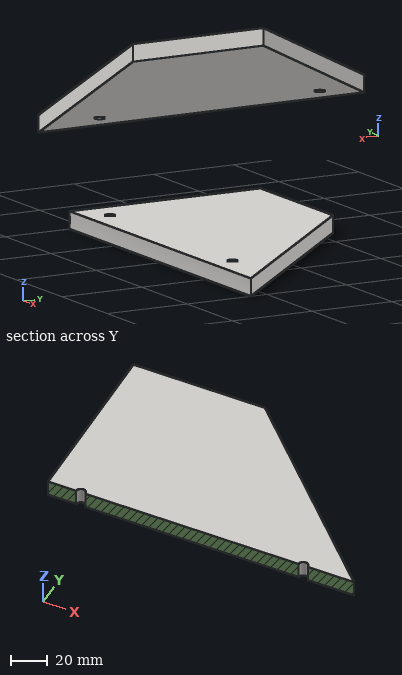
import cadquery as cq

plate_length = 200.0
plate_width = 120.0
plate_thickness = 10.0
short_edge_length = plate_length - plate_width

hollow_depth = 0.15

hole_diameter = 5.5
hole_edge_offset = 14.15
first_hole_x = 20.0
hole_spacing = 135.0


def make_bar():
    """Full-length rectangular plate with the hollow long edge face at Y = 0."""
    profile = (
        cq.Workplane("YZ")
        .lineTo(plate_width, 0)
        .lineTo(plate_width, plate_thickness)
        .lineTo(0, plate_thickness)
        .threePointArc((hollow_depth, plate_thickness / 2), (0, 0))
        .close()
    )
    return profile.extrude(plate_length)


def make_corner_cutter():
    """Triangular prism removed to leave the sloping edge."""
    corner = [
        (plate_length, 0),
        (plate_length, plate_width),
        (short_edge_length, plate_width),
    ]
    return cq.Workplane("XY").polyline(corner).close().extrude(plate_thickness)


def make_hole_cutters():
    """Cylinders for the two through holes."""
    centers = [(first_hole_x + i * hole_spacing, hole_edge_offset) for i in range(2)]
    return cq.Workplane("XY").pushPoints(centers).circle(hole_diameter / 2).extrude(plate_thickness)


result = make_bar().cut(make_corner_cutter()).cut(make_hole_cutters())